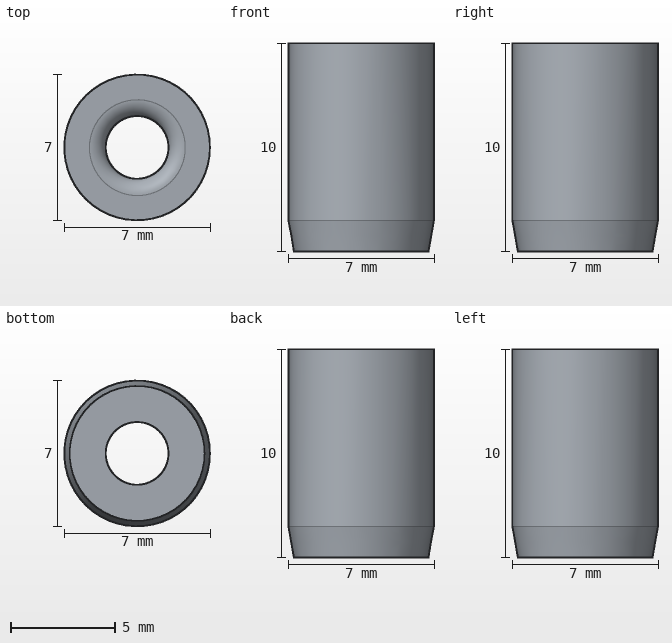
import cadquery as cq
import math

outer_diameter = 7.0
length = 10.0
bore_diameter = 3.0
mouth_radius = 0.8
lead_in_height = 1.5
lead_in_angle = 10.0

outer_radius = outer_diameter / 2
lead_in_end_radius = outer_radius - lead_in_height * math.tan(math.radians(lead_in_angle))


def make_body():
    """Solid cylinder standing on Z = 0 with a tapered lead-in at its lower end."""
    half_section = (
        cq.Workplane("XZ")
        .moveTo(0, 0)
        .lineTo(lead_in_end_radius, 0)
        .lineTo(outer_radius, lead_in_height)
        .lineTo(outer_radius, length)
        .lineTo(0, length)
        .close()
    )
    return half_section.revolve(360, (0, 0, 0), (0, 1, 0))


def cut_bore(body):
    """Through bore along Z."""
    return body.faces(">Z").workplane().hole(bore_diameter)


def round_bore_mouth(body):
    """Rounded entry where the bore meets the top face."""
    smallest_circle = cq.selectors.RadiusNthSelector(0)
    return body.faces(">Z").edges(smallest_circle).fillet(mouth_radius)


result = round_bore_mouth(cut_bore(make_body()))